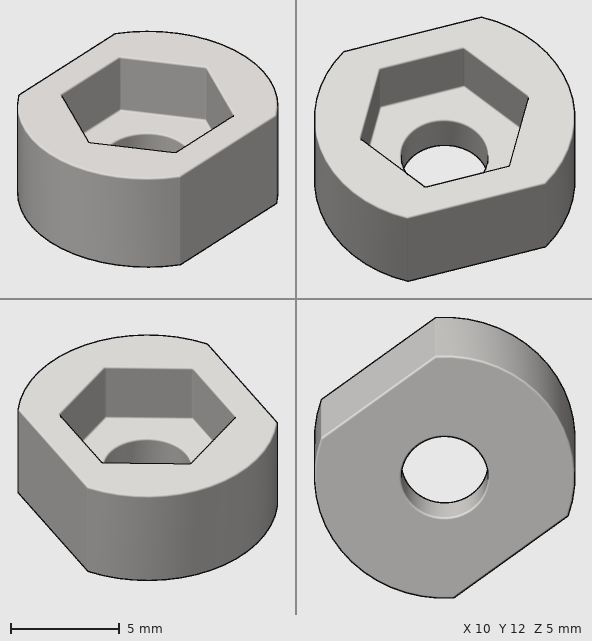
import cadquery as cq
import math

body_diameter = 12.0
width_across_flats = 10.0
height = 5.0
bore_diameter = 4.0
hex_across_flats = 7.0
hex_depth = 3.0
edge_radius = 0.1

pocket_floor = height - hex_depth
hex_corner_diameter = hex_across_flats / math.cos(math.pi / 6)

round_blank = cq.Workplane("XY").circle(body_diameter / 2).extrude(height)
flats_envelope = cq.Workplane("XY").rect(width_across_flats, body_diameter).extrude(height)
body = round_blank.intersect(flats_envelope).edges().fillet(edge_radius)

pocket = (
    cq.Workplane("XY", origin=(0, 0, pocket_floor))
    .transformed(rotate=(0, 0, 90))
    .polygon(6, hex_corner_diameter)
    .extrude(hex_depth)
    .edges("|Z or <Z")
    .fillet(edge_radius)
)

body = body.cut(pocket)
rim = body.faces(">Z").val().innerWires()[0]
body = body.newObject(rim.Edges()).fillet(edge_radius)

bore = cq.Workplane("XY").circle(bore_diameter / 2).extrude(height)
body = body.cut(bore)
bore_ends = body.edges("%CIRCLE").filter(
    lambda edge: math.isclose(edge.radius(), bore_diameter / 2)
)
result = bore_ends.fillet(edge_radius)